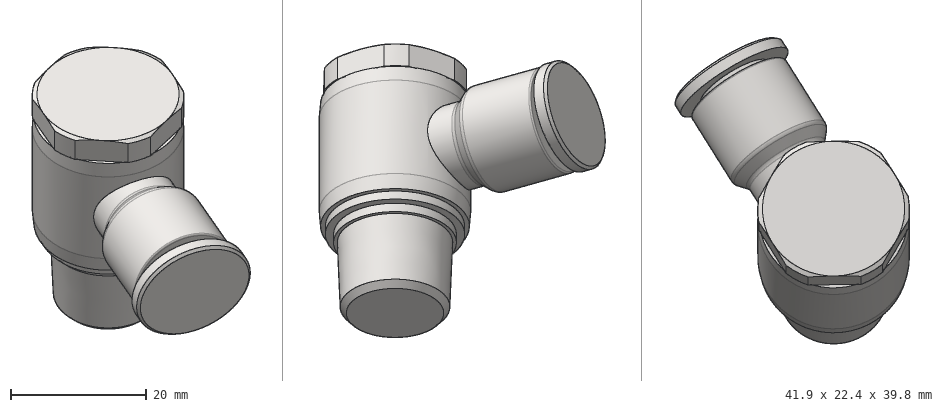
import cadquery as cq
import math

overall_length = 41.85
overall_height = 39.8

tip_chamfer_radius = 7.2
tip_radius = 8.1
tip_chamfer_height = 1.05
thread_top_radius = 8.55
thread_top = 12.05
lower_collar_radius = 9.08
lower_collar_top = 13.45
upper_collar_radius = 10.3
body_radius = 11.2
body_end_radius = 11.0
body_bottom = 14.85
body_top = 35.75
body_taper_height = 2.45

head_across_flats = 21.0
head_chamfer_height = 0.3

branch_axis_z = (body_bottom + body_top) / 2
neck_radius = 6.53
cone_start = 13.55
socket_start = 15.55
socket_radius = 8.15
socket_end = 27.35
cone_blend_radius = 1.0
socket_rim_fillet = 0.25

sleeve_radius = 5.85
flange_start = 28.55
flange_end = overall_length - body_radius
flange_half_width = 9.25
flange_half_height = 8.05
flange_chamfer = 0.4


def make_stem():
    """Tapered thread, two collars and the barrel body, as one revolved profile."""
    profile = [
        (0, 0),
        (tip_chamfer_radius, 0),
        (tip_radius, tip_chamfer_height),
        (thread_top_radius, thread_top),
        (lower_collar_radius, thread_top),
        (lower_collar_radius, lower_collar_top),
        (upper_collar_radius, lower_collar_top),
        (upper_collar_radius, body_bottom),
        (body_end_radius, body_bottom),
        (body_radius, body_bottom + body_taper_height),
        (body_radius, body_top - body_taper_height),
        (body_end_radius, body_top),
        (0, body_top),
    ]
    return cq.Workplane("XZ").polyline(profile).close().revolve(360, (0, 0), (0, 1))


def make_head():
    """Hexagon with corners on +X and -X, trimmed by a chamfered round blank."""
    head_height = overall_height - body_top
    crown_inset = body_radius - head_across_flats / 2
    across_corners = head_across_flats / math.cos(math.pi / 6)
    hexagon = (
        cq.Workplane("XY", origin=(0, 0, body_top))
        .polygon(6, across_corners)
        .extrude(head_height)
    )
    blank = (
        cq.Workplane("XY", origin=(0, 0, body_top))
        .circle(body_radius)
        .extrude(head_height)
        .faces(">Z")
        .chamfer(head_chamfer_height, crown_inset)
    )
    return hexagon.intersect(blank)


def make_socket():
    """Neck flaring through a blended cone into the tube socket."""
    profile = [
        (0, 0),
        (0, neck_radius),
        (cone_start, neck_radius),
        (socket_start, socket_radius),
        (socket_end, socket_radius),
        (socket_end, 0),
    ]
    socket = (
        cq.Workplane("XY", origin=(0, 0, branch_axis_z))
        .polyline(profile)
        .close()
        .revolve(360, (0, 0), (1, 0))
    )
    for cone_edge_x in (cone_start, socket_start):
        socket = socket.edges(at_x(cone_edge_x)).fillet(cone_blend_radius)
    return socket.faces(">X").edges().fillet(socket_rim_fillet)


def at_x(x):
    """Box selector for the edges lying in the plane at the given X."""
    tolerance = 0.005
    reach = 2 * overall_height
    return cq.selectors.BoxSelector((x - tolerance, -reach, -reach), (x + tolerance, reach, reach))


def make_release_flange():
    """Sleeve out of the socket, ending in a chamfered elliptical flange."""
    sleeve = (
        cq.Workplane("YZ", origin=(socket_end, 0, branch_axis_z))
        .circle(sleeve_radius)
        .extrude(flange_start - socket_end)
    )
    flange = (
        cq.Workplane("YZ", origin=(flange_start, 0, branch_axis_z))
        .ellipse(flange_half_width, flange_half_height)
        .extrude(flange_end - flange_start)
        .faces(">X")
        .edges()
        .chamfer(flange_chamfer)
    )
    return sleeve.union(flange)


result = make_stem().union(make_head()).union(make_socket()).union(make_release_flange())